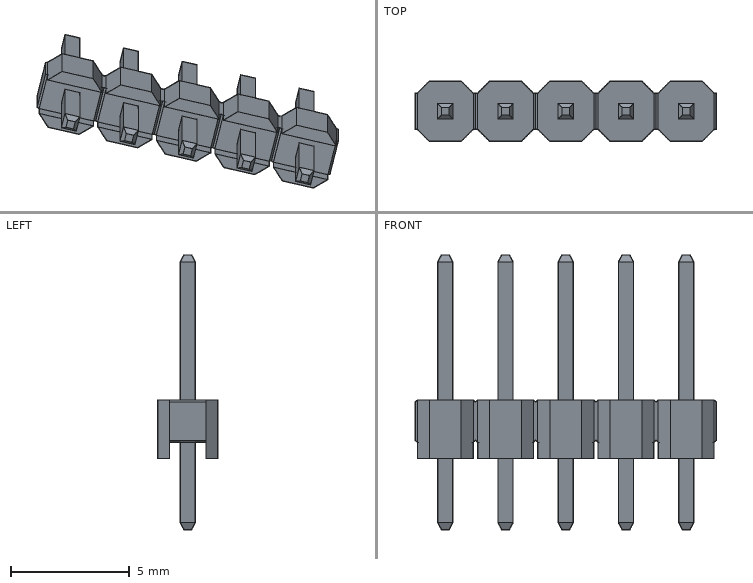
import cadquery as cq

pin_count = 5
pitch = 2.54

housing_width = 2.54
housing_height = 2.48
corner_cut = 0.51
end_bevel = 0.09
channel_depth = 0.69
bridge_width = housing_width - 2 * corner_cut
block_length = pitch - 2 * end_bevel

pin_side = 0.65
pin_above = 6.12
pin_below = 3.0
tip_height = 0.3
tip_side = pin_side / 2

pin_positions = [(i - (pin_count - 1) / 2) * pitch for i in range(pin_count)]


def make_segment():
    """One contact's share of the housing: an octagonal block with a bevelled bridge through it."""
    block = (
        cq.Workplane("XY")
        .rect(block_length, housing_width)
        .extrude(housing_height)
        .edges("|Z")
        .chamfer(corner_cut)
    )
    bridge = (
        cq.Workplane("XY")
        .workplane(offset=channel_depth)
        .rect(pitch, bridge_width)
        .extrude(housing_height - channel_depth)
        .edges("|Y")
        .chamfer(end_bevel)
    )
    return block.union(bridge)


def make_housing():
    """Joined segments with an open channel along the underside and a square hole for each pin."""
    segment = make_segment()
    housing = segment.translate((pin_positions[0], 0, 0))
    for x in pin_positions[1:]:
        housing = housing.union(segment.translate((x, 0, 0)))

    channel = cq.Workplane("XY").rect(pin_count * pitch, bridge_width).extrude(channel_depth)
    pin_holes = (
        cq.Workplane("XY")
        .pushPoints([(x, 0) for x in pin_positions])
        .rect(pin_side, pin_side)
        .extrude(housing_height)
    )
    return housing.cut(channel).cut(pin_holes)


def make_pin(x):
    """Square pin with a blunt pyramid tip at each end."""
    shank_bottom = tip_height - pin_below
    shank_top = housing_height + pin_above - tip_height
    shank = (
        cq.Workplane("XY")
        .workplane(offset=shank_bottom)
        .rect(pin_side, pin_side)
        .extrude(shank_top - shank_bottom)
    )
    for z, tip_rise in ((shank_top, tip_height), (shank_bottom, -tip_height)):
        tip = (
            cq.Workplane("XY")
            .workplane(offset=z)
            .rect(pin_side, pin_side)
            .workplane(offset=tip_rise)
            .rect(tip_side, tip_side)
            .loft(ruled=True)
        )
        shank = shank.union(tip)
    return shank.translate((x, 0, 0))


housing = make_housing().solids()
pins = [make_pin(x).solids() for x in pin_positions]

result = cq.Compound.makeCompound([housing.val(), *[pin.val() for pin in pins]])